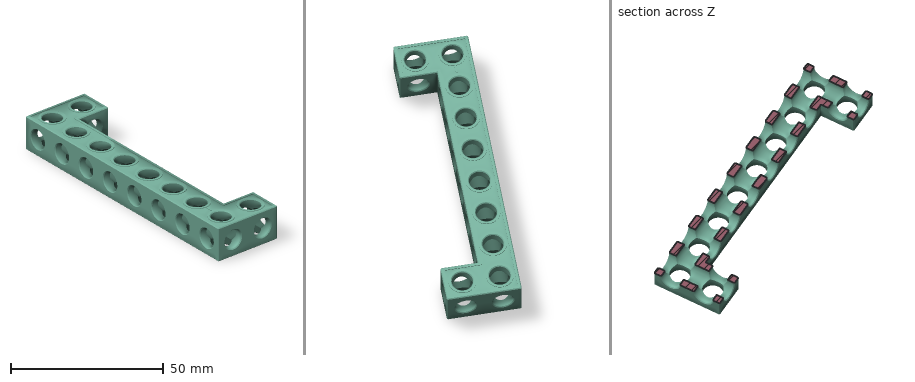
import cadquery as cq

pitch = 12.5
columns = 8
rows = 2
vertical_bore = 7.0
cross_bore = 6.98
edge_break = 0.3
border_width = 1.15
collar_diameter = 9.2
recess_depth = 0.2
bar_length = 2.5
bar_width = 0.45

length = columns * pitch
width = rows * pitch
height = pitch
mid_height = height / 2
recess_floor = height - recess_depth


def cell_center(index):
    """Distance from the origin to the middle of a grid cell."""
    return (index + 0.5) * pitch


beam_centers = [cell_center(column) for column in range(columns)]
arm_centers = [cell_center(row) for row in range(rows)]
vertical_points = [(x, arm_centers[0]) for x in beam_centers]
vertical_points += [(x, y) for x in (beam_centers[0], beam_centers[-1]) for y in arm_centers[1:]]


def u_prism(inset, bottom, top):
    """U-shaped prism whose sides lie the given inset inside the part outline."""
    outline = [
        (inset, inset),
        (length - inset, inset),
        (length - inset, width - inset),
        (length - pitch + inset, width - inset),
        (length - pitch + inset, pitch - inset),
        (pitch - inset, pitch - inset),
        (pitch - inset, width - inset),
        (inset, width - inset),
    ]
    return cq.Workplane("XY").workplane(offset=bottom).polyline(outline).close().extrude(top - bottom)


def beam_body():
    """Plain U-shaped beam, chamfered everywhere but along its two inner vertical corners."""
    body = u_prism(0, 0, height)
    return body.faces("<Y or >Y or <Z or >Z").edges().chamfer(edge_break)


def top_recess():
    """Shallow panel inside the border, leaving the rings and the small bar standing."""
    panel = u_prism(border_width, recess_floor, height)
    floor = cq.Workplane("XY").workplane(offset=recess_floor)
    collars = floor.pushPoints(vertical_points).circle(collar_diameter / 2).extrude(recess_depth)
    bar_x = (beam_centers[-2] + beam_centers[-1]) / 2
    bar = floor.center(bar_x, arm_centers[0]).rect(bar_length, bar_width).extrude(recess_depth)
    return panel.cut(collars).cut(bar)


def bore(diameter, depth):
    """Cylinder along +Z from the origin, flared at both ends to chamfer the hole mouths."""
    radius = diameter / 2
    mouth = radius + edge_break
    profile = [
        (0, 0),
        (mouth, 0),
        (radius, edge_break),
        (radius, depth - edge_break),
        (mouth, depth),
        (0, depth),
    ]
    return cq.Workplane("XZ").polyline(profile).close().revolve(360, (0, 0, 0), (0, 1, 0))


def drill_vertical(body):
    """Through holes along Z, one in every grid cell."""
    tool = bore(vertical_bore, height)
    for x, y in vertical_points:
        body = body.cut(tool.translate((x, y, 0)))
    return body


def drill_front(body):
    """Through holes along Y, one in every column; the end ones run through the arms."""
    for column, x in enumerate(beam_centers):
        depth = width if column in (0, columns - 1) else pitch
        tool = bore(cross_bore, depth).rotate((0, 0, 0), (1, 0, 0), -90)
        body = body.cut(tool.translate((x, 0, mid_height)))
    return body


def drill_sides(body):
    """Through holes along X: one down the whole beam, and one across each arm cell."""
    along_x = ((0, 0, 0), (0, 1, 0), 90)
    beam_tool = bore(cross_bore, length).rotate(*along_x)
    body = body.cut(beam_tool.translate((0, arm_centers[0], mid_height)))
    arm_tool = bore(cross_bore, pitch).rotate(*along_x)
    for arm_start in (0, length - pitch):
        for y in arm_centers[1:]:
            body = body.cut(arm_tool.translate((arm_start, y, mid_height)))
    return body


result = beam_body()
result = result.cut(top_recess())
result = drill_vertical(result)
result = drill_front(result)
result = drill_sides(result)